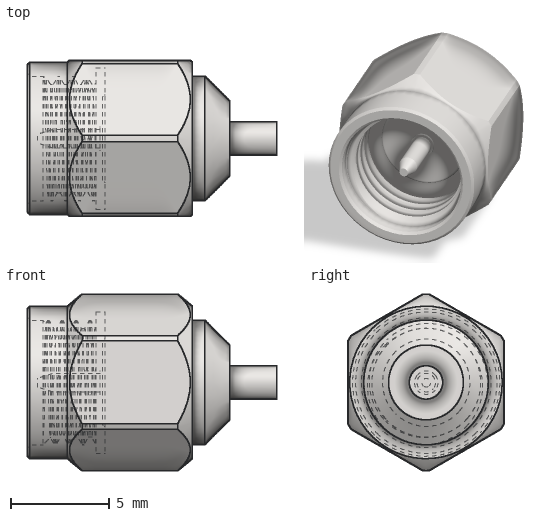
import cadquery as cq
import math


SLEEVE_RADIUS = 7.76 / 2
SLEEVE_LENGTH = 2.04
SLEEVE_CHAMFER = 0.13
HEX_SIDES = 6
HEX_ACROSS_FLATS = 7.94
HEX_CORNER_RADIUS = 8.99 / 2
HEX_END = 8.41
HEX_BEVEL_LENGTH = 0.75

COLLAR_RADIUS = 6.35 / 2
COLLAR_END = 9.04
FERRULE_TAPER = 1.27
FERRULE_END = COLLAR_END + FERRULE_TAPER
CABLE_RADIUS = 1.7 / 2
CABLE_END = 12.7

LEAD_BORE_RADIUS = 6.35 / 2
LEAD_BORE_END = 0.78
MOUTH_CHAMFER = 0.13
RELIEF_RADIUS = 3.6
CAVITY_DEPTH = 3.95

THREAD_PITCH = 25.4 / 36
THREAD_MINOR_RADIUS = 5.54 / 2
THREAD_ROOT_RADIUS = 6.33 / 2
CREST_WIDTH = THREAD_PITCH / 4
FLANK_HALF_ANGLE = 30
THREAD_END = 3.5
GROOVE_START = 0.33
GROOVE_RUNOUT = 0.4
THREAD_PHASE = -195

INSULATOR_RADIUS = 4.45 / 2
INSULATOR_ROUND = 0.125
SHOULDER_RADIUS = 1.19 / 2
SHOULDER_HEIGHT = 0.125
PIN_RADIUS = 0.94 / 2
PIN_TIP_RADIUS = 0.22
PIN_TIP_START = 0.5
PIN_CONE_LENGTH = 0.78

ORIGIN = (0, 0, 0)
X_AXIS = (1, 0, 0)
Y_AXIS = (0, 1, 0)


def revolve_about_x(outline):
    """Close an outline drawn as (x, radius) and revolve it about the X axis."""
    return outline.close().revolve(360, ORIGIN, X_AXIS)


def make_turned_body():
    """Nut, ferrule and cable as one turned shape, before the hexagon flats."""
    outline = cq.Workplane("XY").polyline([
        (0, 0),
        (0, SLEEVE_RADIUS - SLEEVE_CHAMFER),
        (SLEEVE_CHAMFER, SLEEVE_RADIUS),
        (SLEEVE_LENGTH, SLEEVE_RADIUS),
        (SLEEVE_LENGTH + HEX_BEVEL_LENGTH, HEX_CORNER_RADIUS),
        (HEX_END - HEX_BEVEL_LENGTH, HEX_CORNER_RADIUS),
        (HEX_END, SLEEVE_RADIUS),
        (HEX_END, COLLAR_RADIUS),
        (COLLAR_END, COLLAR_RADIUS),
        (FERRULE_END, COLLAR_RADIUS - FERRULE_TAPER),
        (FERRULE_END, CABLE_RADIUS),
        (CABLE_END, CABLE_RADIUS),
        (CABLE_END, 0),
    ])
    return revolve_about_x(outline)


def make_hex_envelope():
    """Hexagonal prism over the full length, with flats facing +Y and -Y."""
    across_corners = HEX_ACROSS_FLATS / math.cos(math.pi / HEX_SIDES)
    corner_up = (0, 0, 90)
    profile = cq.Workplane("YZ").transformed(rotate=corner_up).polygon(HEX_SIDES, across_corners)
    return profile.extrude(CABLE_END)


def make_plain_cavity():
    """Cavity without thread; a 45 degree cone leads from the bore to the thread crests."""
    lead_cone_length = LEAD_BORE_RADIUS - THREAD_MINOR_RADIUS
    outline = cq.Workplane("XY").polyline([
        (0, 0),
        (0, LEAD_BORE_RADIUS + MOUTH_CHAMFER),
        (MOUTH_CHAMFER, LEAD_BORE_RADIUS),
        (LEAD_BORE_END, LEAD_BORE_RADIUS),
        (LEAD_BORE_END + lead_cone_length, THREAD_MINOR_RADIUS),
        (THREAD_END, THREAD_MINOR_RADIUS),
        (THREAD_END, RELIEF_RADIUS),
        (CAVITY_DEPTH, RELIEF_RADIUS),
        (CAVITY_DEPTH, 0),
    ])
    return revolve_about_x(outline)


def make_thread_groove():
    """Right-hand helical V groove, running from the lead bore through the last crest."""
    slope = math.tan(math.radians(FLANK_HALF_ANGLE))
    overlap = 0.1
    mouth_half_width = (THREAD_PITCH - CREST_WIDTH) / 2
    inner_half_width = mouth_half_width + overlap * slope
    root_half_width = mouth_half_width - (THREAD_ROOT_RADIUS - THREAD_MINOR_RADIUS) * slope
    inner_radius = THREAD_MINOR_RADIUS - overlap
    length = THREAD_END + GROOVE_RUNOUT - GROOVE_START
    helix = cq.Workplane(obj=cq.Wire.makeHelix(THREAD_PITCH, length, THREAD_MINOR_RADIUS))
    profile = cq.Workplane("XZ").polyline([
        (inner_radius, -inner_half_width),
        (THREAD_ROOT_RADIUS, -root_half_width),
        (THREAD_ROOT_RADIUS, root_half_width),
        (inner_radius, inner_half_width),
    ]).close()
    groove = profile.sweep(helix, isFrenet=True)
    return groove.rotate(ORIGIN, Y_AXIS, 90).translate((GROOVE_START, 0, 0))


def make_threaded_cavity():
    """Cavity with its thread, trimmed at the floor and turned to the thread's start angle."""
    floor_limit = cq.Workplane("YZ").circle(SLEEVE_RADIUS).extrude(CAVITY_DEPTH)
    cavity = make_plain_cavity().union(make_thread_groove()).intersect(floor_limit)
    return cavity.rotate(ORIGIN, X_AXIS, THREAD_PHASE)


def make_contact():
    """Rounded insulator face, pin shoulder and cone-tipped centre pin."""
    insulator_face = CAVITY_DEPTH - INSULATOR_ROUND
    shoulder_face = insulator_face - SHOULDER_HEIGHT
    embedded_end = CAVITY_DEPTH + INSULATOR_ROUND
    round_offset = INSULATOR_ROUND * (1 - math.sqrt(0.5))
    outline = (
        cq.Workplane("XY")
        .moveTo(PIN_TIP_START, 0)
        .lineTo(PIN_TIP_START, PIN_TIP_RADIUS)
        .lineTo(PIN_TIP_START + PIN_CONE_LENGTH, PIN_RADIUS)
        .lineTo(shoulder_face, PIN_RADIUS)
        .lineTo(shoulder_face, SHOULDER_RADIUS)
        .lineTo(insulator_face, SHOULDER_RADIUS)
        .lineTo(insulator_face, INSULATOR_RADIUS - INSULATOR_ROUND)
        .threePointArc(
            (insulator_face + round_offset, INSULATOR_RADIUS - round_offset),
            (CAVITY_DEPTH, INSULATOR_RADIUS),
        )
        .lineTo(embedded_end, INSULATOR_RADIUS)
        .lineTo(embedded_end, 0)
    )
    return revolve_about_x(outline)


body = make_turned_body().intersect(make_hex_envelope())
result = body.cut(make_threaded_cavity()).union(make_contact())